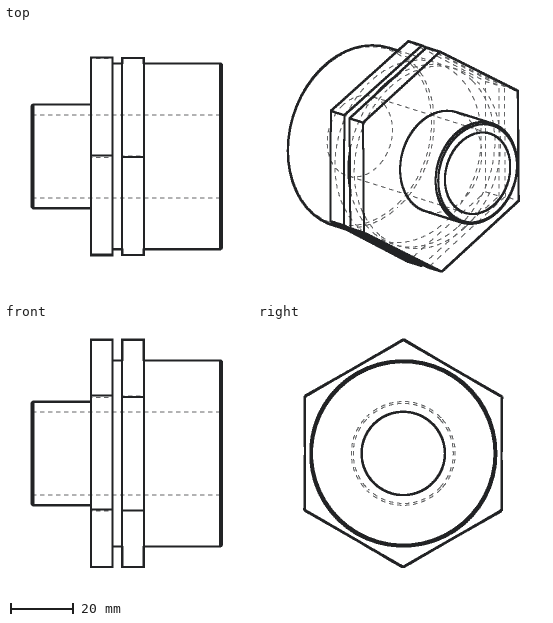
import cadquery as cq

total_length = 61.0
small_end_length = 19.0
hex_thickness = 7.0
hex_gap = 3.0

small_diameter = 33.249
large_diameter = 59.614
bore_diameter = 26.6
end_chamfer = 0.6

hex_corner_diameter = 72.75
first_hex_turn = -0.54
second_hex_turn = 0.2

first_hex_start = small_end_length
second_hex_start = first_hex_start + hex_thickness + hex_gap


def cylinder(diameter, start, end):
    """Solid cylinder on the X axis between two stations."""
    return cq.Workplane("YZ").workplane(offset=start).circle(diameter / 2).extrude(end - start)


def hex_collar(start, turn):
    """Hexagonal plate across the X axis with corners on +/-Z, then turned about X."""
    corner_on_z = 90.0
    plate = cq.Workplane("YZ").workplane(offset=start).polygon(6, hex_corner_diameter).extrude(hex_thickness)
    return plate.rotate((0, 0, 0), (1, 0, 0), corner_on_z + turn)


small_end = cylinder(small_diameter, 0, small_end_length).faces("<X").edges().chamfer(end_chamfer)
large_end = cylinder(large_diameter, small_end_length, total_length).faces(">X").edges().chamfer(end_chamfer)

body = (
    small_end.union(large_end)
    .union(hex_collar(first_hex_start, first_hex_turn))
    .union(hex_collar(second_hex_start, second_hex_turn))
)

result = body.cut(cylinder(bore_diameter, 0, total_length))